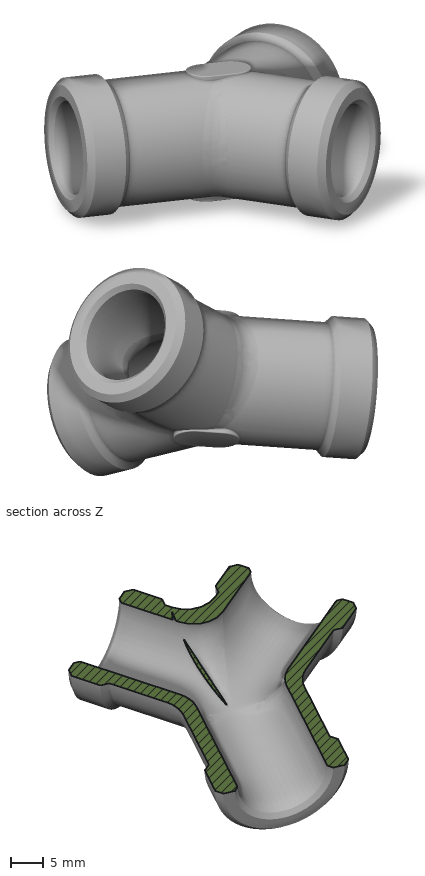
import cadquery as cq
import math

LEG_LENGTH = 25.0
ARM_LENGTH = 23.0
ARM_ANGLE = 45
LEGS = [
    (-90, LEG_LENGTH),
    (ARM_ANGLE, ARM_LENGTH),
    (180 - ARM_ANGLE, ARM_LENGTH),
]

NECK_DIAMETER = 19.8
COLLAR_DIAMETER = 21.8
BORE_DIAMETER = 14.6
COLLAR_LENGTH = 7.0
MOUTH_CHAMFER = 0.7
NECK_RADIUS = NECK_DIAMETER / 2
COLLAR_RADIUS = COLLAR_DIAMETER / 2
BORE_RADIUS = BORE_DIAMETER / 2
COLLAR_CHAMFER = COLLAR_RADIUS - NECK_RADIUS

CROTCH_RADIUS = 5.0
SEAM_OVERLAP = 0.001

PAD_LENGTH = 10.35
PAD_WIDTH = 6.25
PAD_HEIGHT = 0.3
PAD_ROUND = 0.15


def point_at(distance, angle):
    """Point of the XY plane at a polar angle in degrees."""
    return (distance * math.cos(math.radians(angle)), distance * math.sin(math.radians(angle)))


def along_leg(solid, angle):
    """Turn a solid built along +X into the direction of a leg."""
    return solid.rotate((0, 0, 0), (0, 0, 1), angle)


def tube(radius, length):
    """Cylinder along +X starting at the origin."""
    return cq.Workplane("YZ").circle(radius).extrude(length)


def collar(length):
    """Thicker end of a leg, bevelled on both edges."""
    ring = cq.Workplane("YZ").workplane(offset=length - COLLAR_LENGTH).circle(COLLAR_RADIUS)
    return ring.extrude(COLLAR_LENGTH).faces("<X or >X").chamfer(COLLAR_CHAMFER)


def mouth(length):
    """Conical countersink at the open end of a leg."""
    profile = [
        (length - MOUTH_CHAMFER, 0),
        (length - MOUTH_CHAMFER, BORE_RADIUS),
        (length, BORE_RADIUS + MOUTH_CHAMFER),
        (length, 0),
    ]
    return cq.Workplane("XY").polyline(profile).close().revolve(360, (0, 0, 0), (1, 0, 0))


def crotch_fill(radius, first_angle, second_angle):
    """Material that rounds the corner between two tubes of one radius.

    A ball touching both tubes keeps its centre on an ellipse in their bisecting plane.
    The fill is a wedge reaching the touching points, less the pipe swept by that ball.
    """
    half_angle = (second_angle - first_angle) / 2
    bisector = first_angle + half_angle
    half = math.radians(half_angle)
    ball_path_height = radius + CROTCH_RADIUS
    ball_path_reach = ball_path_height / math.sin(half)
    touch_along_tube = ball_path_height / math.tan(half)
    touch_distance = math.hypot(radius, touch_along_tube)
    touch_angle = half_angle - math.degrees(math.atan2(radius, touch_along_tube))

    wedge = (
        cq.Workplane("XY")
        .moveTo(0, 0)
        .lineTo(*point_at(touch_distance, -touch_angle))
        .lineTo(*point_at(touch_distance, touch_angle))
        .close()
        .extrude(radius, both=True)
    )
    path = (
        cq.Workplane("XZ")
        .moveTo(0, -ball_path_height)
        .ellipseArc(ball_path_reach, ball_path_height, -90, 90, startAtCurrent=True)
    )
    pipe_section = cq.Workplane("YZ").center(0, -ball_path_height).circle(CROTCH_RADIUS - SEAM_OVERLAP)
    ball_pipe = pipe_section.sweep(path)
    return along_leg(wedge.cut(ball_pipe), bisector)


def junction(radius):
    """Three tubes of one radius joined with rounded corners."""
    joined = cq.Workplane("XY")
    for angle, length in LEGS:
        joined = joined.union(along_leg(tube(radius, length), angle))
    angles = [angle for angle, _ in LEGS]
    for first, second in zip(angles, angles[1:] + [angles[0] + 360]):
        joined = joined.union(crotch_fill(radius, first, second))
    return joined


def label_pad():
    """Rounded-end plate reaching from the middle of the part to above the neck."""
    plate = cq.Workplane("XY").slot2D(PAD_LENGTH, PAD_WIDTH, 90).extrude(NECK_RADIUS + PAD_HEIGHT)
    return plate.faces(">Z").edges().fillet(PAD_ROUND)


body = junction(NECK_RADIUS)
pad = label_pad()
body = body.union(pad).union(pad.mirror("XY"))
for angle, length in LEGS:
    body = body.union(along_leg(collar(length), angle))

bore = junction(BORE_RADIUS)
for angle, length in LEGS:
    bore = bore.union(along_leg(mouth(length), angle))

result = body.cut(bore)